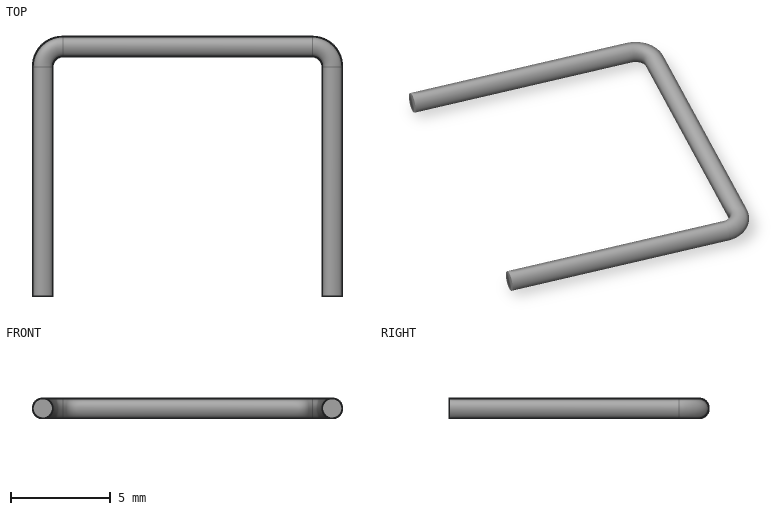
import cadquery as cq

width = 15.5
depth = 13.0
wire_diameter = 1.0
bend_radius = wire_diameter

wire_radius = wire_diameter / 2
leg_x = (width - wire_diameter) / 2
bridge_y = depth - wire_radius
bend_start_y = bridge_y - bend_radius
bridge_end_x = leg_x - bend_radius

centreline = (
    cq.Workplane("XY")
    .moveTo(-leg_x, 0)
    .lineTo(-leg_x, bend_start_y)
    .tangentArcPoint((-bridge_end_x, bridge_y), relative=False)
    .lineTo(bridge_end_x, bridge_y)
    .tangentArcPoint((leg_x, bend_start_y), relative=False)
    .lineTo(leg_x, 0)
)

result = (
    cq.Workplane("XZ")
    .center(-leg_x, 0)
    .circle(wire_radius)
    .sweep(centreline)
)